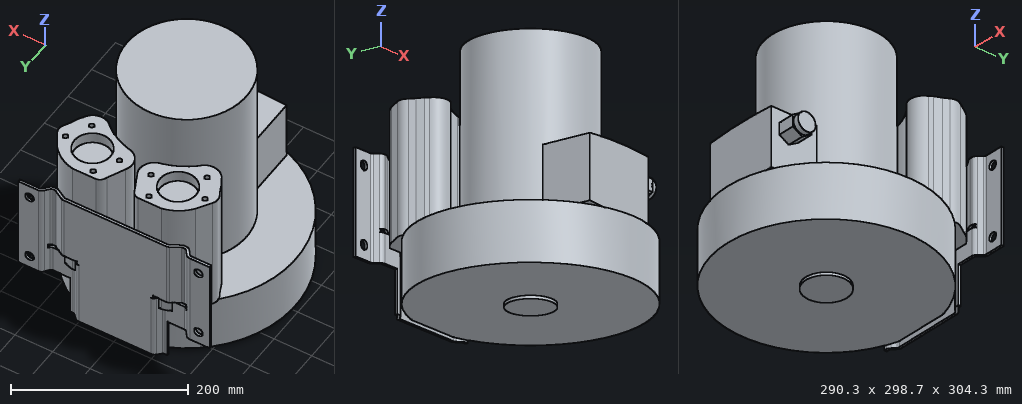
import cadquery as cq
import math


PAD_DIAMETER = 60.3
HOUSING_BOTTOM = 4.0
HOUSING_TOP = 78.5
HOUSING_DIAMETER = 290.3
HOUSING_FLAT_Y = 140.0

MOTOR_DIAMETER = 159.0
MOTOR_TOP = 304.3

PORT_X = 57.0
PORT_Y = 108.5
PORT_TOP = 240.0
PORT_BACK = 39.0
PORT_MOTOR_RADIUS = 90.5
BORE_DIAMETER = 47.8
PORT_HOLE_DIAMETER = 6.5
PORT_HOLE_CIRCLE_RADIUS = 36.0
PORT_HOLE_ANGLES = (0, 123.5, 180, 303.5)
BORE_DEPTH = 15.0

BOX_HALF_WIDTH = 53.3
BOX_FRONT_Y = -126.3
BOX_CENTER_Z = 126.5
BOX_HALF_HEIGHT = 42.5
BOX_BOW = 2.5

GLAND_Y = -100.5
GLAND_Z = 141.5
GLAND_NUT_CORNER_DIAMETER = 32.0
GLAND_NUT_LENGTH = 23.5
GLAND_DIAMETER = 26.0
GLAND_LENGTH = 8.0

SHEET = 3.5
BRACKET_BOTTOM = 57.8
BRACKET_TOP = 187.8
FLANGE_END_X = 127.2
FLANGE_BEND_X = 98.0
TROUGH_OUTER_X = 90.5
TROUGH_INNER_X = 83.7
PLATE_BEND_X = 69.7
FLANGE_MID_Y = 151.8
PLATE_MID_Y = 150.0
TROUGH_MID_Y = HOUSING_FLAT_Y + SHEET / 2
BEND_RADIUS = 5.8
FLANGE_HOLE_DIAMETER = 11.5
FLANGE_HOLE_X = 112.3
FLANGE_HOLE_SPACING = 94.3

SLIT_BOTTOM = 94.3
SLIT_HEIGHT = 4.3
SLIT_OUTER_X = 92.2
TROUGH_LOW_X = 86.5
STRAP_END_X = 64.5
STRAP_LOWER_BEND_X = 58.7
STRAP_UPPER_BEND_X = STRAP_LOWER_BEND_X - (PLATE_MID_Y - TROUGH_MID_Y)

BOSS_BASE_DIAMETER = 33.5
BOSS_TIP_DIAMETER = 24.3
BOSS_TIP_Y = 142.0


def cylinder(diameter, bottom, top):
    return cq.Workplane("XY").workplane(offset=bottom).circle(diameter / 2).extrude(top - bottom)


def block(x_range, y_range, z_range):
    lows, highs = zip(x_range, y_range, z_range)
    sizes = [high - low for low, high in zip(lows, highs)]
    return cq.Workplane("XY").box(*sizes, centered=False).translate(lows)


def make_housing():
    housing = cylinder(HOUSING_DIAMETER, HOUSING_BOTTOM, HOUSING_TOP)
    beyond_flat = block(
        (-HOUSING_DIAMETER, HOUSING_DIAMETER),
        (HOUSING_FLAT_Y, HOUSING_DIAMETER),
        (HOUSING_BOTTOM, HOUSING_TOP),
    )
    return housing.cut(beyond_flat)


def motor_arc_point(local_x):
    """Point of the hollow side at local_x from the bore axis."""
    distance = math.sqrt(PORT_MOTOR_RADIUS**2 - (PORT_X + local_x) ** 2)
    return (local_x, distance - PORT_Y)


def make_port():
    """Port on the +X side, outlined about its own bore axis."""
    port = (
        cq.Workplane("XY")
        .moveTo(-29.0, PORT_BACK)
        .lineTo(2.0, PORT_BACK)
        .threePointArc((21.3, 31.3), (34.7, 19.2))
        .lineTo(46.3, 1.2)
        .threePointArc((48.7, -6.5), (46.3, -14.3))
        .lineTo(42.3, -22.0)
        .lineTo(38.3, -31.3)
        .lineTo(35.0, -36.0)
        .threePointArc((17.0, -47.5), motor_arc_point(2.0))
        .threePointArc(motor_arc_point(-15.2), motor_arc_point(-35.0))
        .threePointArc((-51.5, -5.5), (-49.0, 8.5))
        .lineTo(-38.3, 30.5)
        .threePointArc((-34.7, 36.5), (-29.0, PORT_BACK))
        .close()
        .extrude(PORT_TOP - HOUSING_TOP)
    )
    port = port.faces(">Z").workplane(origin=(0, 0, 0)).circle(BORE_DIAMETER / 2).cutBlind(-BORE_DEPTH)
    hole_points = [
        (
            PORT_HOLE_CIRCLE_RADIUS * math.cos(math.radians(angle)),
            PORT_HOLE_CIRCLE_RADIUS * math.sin(math.radians(angle)),
        )
        for angle in PORT_HOLE_ANGLES
    ]
    port = (
        port.faces(">Z")
        .workplane(origin=(0, 0, 0))
        .pushPoints(hole_points)
        .circle(PORT_HOLE_DIAMETER / 2)
        .cutBlind(-BORE_DEPTH)
    )
    return port.translate((PORT_X, PORT_Y, HOUSING_TOP))


def make_terminal_box():
    corner = BOX_HALF_HEIGHT - BOX_BOW
    return (
        cq.Workplane("XZ")
        .moveTo(-BOX_HALF_WIDTH, -corner)
        .threePointArc((0, -BOX_HALF_HEIGHT), (BOX_HALF_WIDTH, -corner))
        .lineTo(BOX_HALF_WIDTH, corner)
        .threePointArc((0, BOX_HALF_HEIGHT), (-BOX_HALF_WIDTH, corner))
        .close()
        .extrude(-BOX_FRONT_Y)
        .translate((0, 0, BOX_CENTER_Z))
    )


def make_gland():
    nut = (
        cq.Workplane("YZ")
        .polygon(6, GLAND_NUT_CORNER_DIAMETER)
        .extrude(GLAND_NUT_LENGTH)
        .rotate((0, 0, 0), (1, 0, 0), 90)
    )
    sleeve = cq.Workplane("YZ").circle(GLAND_DIAMETER / 2).extrude(GLAND_NUT_LENGTH + GLAND_LENGTH)
    return nut.union(sleeve).translate((BOX_HALF_WIDTH, GLAND_Y, GLAND_Z))


def bent_sheet(half_points, bottom, top):
    """Sheet symmetric about X = 0 whose mid-line on the -X side runs through half_points."""
    points = half_points + [(-x, y) for x, y in reversed(half_points)]
    path = cq.Wire.makePolygon([cq.Vector(x, y, bottom) for x, y in points])
    bends = path.Vertices()[1:-1]
    path = path.fillet2D(BEND_RADIUS, bends)
    start = cq.Workplane("YZ", origin=(points[0][0], points[0][1], bottom))
    section = start.center(0, (top - bottom) / 2).rect(SHEET, top - bottom)
    return section.sweep(cq.Workplane(path))


def make_bracket():
    upper = bent_sheet(
        [
            (-FLANGE_END_X, FLANGE_MID_Y),
            (-FLANGE_BEND_X, FLANGE_MID_Y),
            (-TROUGH_OUTER_X, TROUGH_MID_Y),
            (-TROUGH_INNER_X, TROUGH_MID_Y),
            (-PLATE_BEND_X, PLATE_MID_Y),
        ],
        BRACKET_BOTTOM,
        BRACKET_TOP,
    )
    inner_part = block(
        (-TROUGH_LOW_X, TROUGH_LOW_X),
        (HOUSING_FLAT_Y, FLANGE_MID_Y + SHEET),
        (BRACKET_BOTTOM, SLIT_BOTTOM),
    )
    slit = block(
        (STRAP_UPPER_BEND_X, SLIT_OUTER_X),
        (0, FLANGE_MID_Y + SHEET),
        (SLIT_BOTTOM, SLIT_BOTTOM + SLIT_HEIGHT),
    )
    bracket = upper.cut(inner_part).cut(slit).cut(slit.mirror("YZ"))

    step = [(-STRAP_LOWER_BEND_X, TROUGH_MID_Y), (-STRAP_UPPER_BEND_X, PLATE_MID_Y)]
    wide_strap = bent_sheet([(-TROUGH_LOW_X, TROUGH_MID_Y)] + step, BRACKET_BOTTOM, SLIT_BOTTOM)
    strap = bent_sheet([(-STRAP_END_X, TROUGH_MID_Y)] + step, HOUSING_BOTTOM, BRACKET_BOTTOM)
    bracket = bracket.union(wide_strap).union(strap)

    holes = (
        cq.Workplane("XZ", origin=(0, 0, (BRACKET_BOTTOM + BRACKET_TOP) / 2))
        .rarray(2 * FLANGE_HOLE_X, FLANGE_HOLE_SPACING, 2, 2)
        .circle(FLANGE_HOLE_DIAMETER / 2)
        .extrude(-HOUSING_DIAMETER)
    )
    boss = (
        cq.Workplane("XZ", origin=(0, PLATE_MID_Y, (BRACKET_BOTTOM + BRACKET_TOP) / 2))
        .circle(BOSS_BASE_DIAMETER / 2)
        .workplane(offset=PLATE_MID_Y - BOSS_TIP_Y)
        .circle(BOSS_TIP_DIAMETER / 2)
        .loft()
    )
    return bracket.cut(holes).union(boss)


port = make_port()

result = (
    make_housing()
    .union(cylinder(PAD_DIAMETER, 0, HOUSING_BOTTOM))
    .union(cylinder(MOTOR_DIAMETER, HOUSING_TOP, MOTOR_TOP))
    .union(make_terminal_box())
    .union(make_gland())
    .union(make_bracket())
    .union(port)
    .union(port.mirror("YZ"))
)